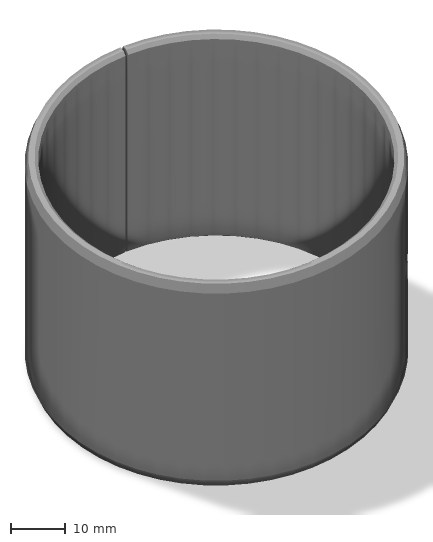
import cadquery as cq

outer_diameter = 70.0
wall = 2.5
length = 50.0

outer_chamfer_height = 1.8
outer_chamfer_depth = 0.7
inner_chamfer = 0.7

split_width = 0.55

oil_hole_diameter = 8.0
oil_hole_angle = 59.2

outer_radius = outer_diameter / 2
inner_radius = outer_radius - wall
half_length = length / 2


def make_sleeve():
    """Revolve the chamfered wall section around Z."""
    outer_edge = half_length - outer_chamfer_height
    inner_edge = half_length - inner_chamfer
    outer_rim = outer_radius - outer_chamfer_depth
    inner_rim = inner_radius + inner_chamfer
    section = [
        (inner_radius, -inner_edge),
        (inner_rim, -half_length),
        (outer_rim, -half_length),
        (outer_radius, -outer_edge),
        (outer_radius, outer_edge),
        (outer_rim, half_length),
        (inner_rim, half_length),
        (inner_radius, inner_edge),
    ]
    return cq.Workplane("XZ").polyline(section).close().revolve(360, (0, 0, 0), (0, 1, 0))


def make_split():
    """Thin full-length block that opens the wall at -X."""
    block = cq.Workplane("XY").box(outer_radius, split_width, length)
    return block.translate((-outer_radius, split_width / 2, 0))


def make_oil_hole():
    """Radial cylinder from the axis out through one wall."""
    drill = cq.Workplane("YZ").circle(oil_hole_diameter / 2).extrude(outer_diameter)
    return drill.rotate((0, 0, 0), (0, 0, 1), oil_hole_angle)


result = make_sleeve().cut(make_split()).cut(make_oil_hole())